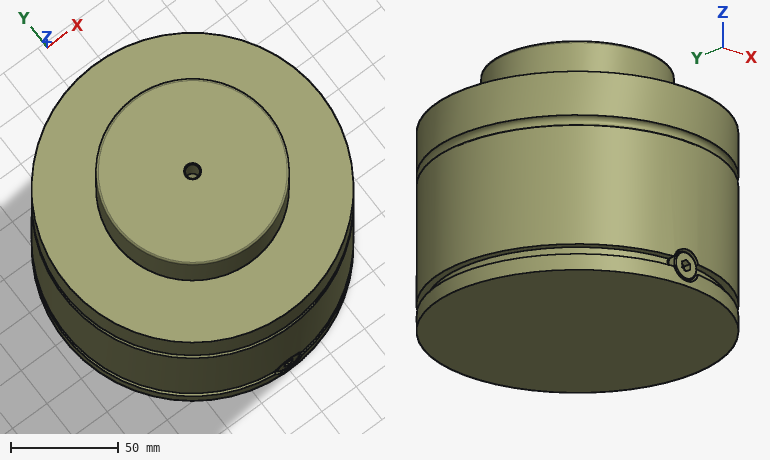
import cadquery as cq
import math

BODY_DIAMETER = 150.0
BODY_HEIGHT = 100.0
BODY_RADIUS = BODY_DIAMETER / 2

ROD_DIAMETER = 90.0
OVERALL_HEIGHT = 128.0
ROD_EDGE_RADIUS = 1.0

ROUND_GROOVE_RADIUS = 2.5
ROUND_GROOVE_Z = 75.5

SQUARE_GROOVE_BOTTOM_Z = 8.0
SQUARE_GROOVE_WIDTH = 5.0
SQUARE_GROOVE_DEPTH = 4.0

TAP_DIAMETER = 6.8
TAP_DEPTH = 16.0
TAP_TIP_ANGLE = 118.0
COUNTERSINK_DIAMETER = 8.0

PORT_Z = SQUARE_GROOVE_BOTTOM_Z + SQUARE_GROOVE_WIDTH / 2
PORT_DIAMETER = 16.0
PORT_DEPTH = 5.0
PLUG_DIAMETER = 14.0
PLUG_RECESS = 0.5
PLUG_EDGE_CHAMFER = 0.6
HEX_ACROSS_FLATS = 5.0
HEX_DEPTH = 4.0


def make_body():
    """Body and rod with both ring grooves, revolved about Z."""
    rod_radius = ROD_DIAMETER / 2
    square_groove_radius = BODY_RADIUS - SQUARE_GROOVE_DEPTH
    square_groove_top_z = SQUARE_GROOVE_BOTTOM_Z + SQUARE_GROOVE_WIDTH
    profile = (
        cq.Workplane("XZ")
        .lineTo(BODY_RADIUS, 0)
        .lineTo(BODY_RADIUS, SQUARE_GROOVE_BOTTOM_Z)
        .lineTo(square_groove_radius, SQUARE_GROOVE_BOTTOM_Z)
        .lineTo(square_groove_radius, square_groove_top_z)
        .lineTo(BODY_RADIUS, square_groove_top_z)
        .lineTo(BODY_RADIUS, ROUND_GROOVE_Z - ROUND_GROOVE_RADIUS)
        .threePointArc(
            (BODY_RADIUS - ROUND_GROOVE_RADIUS, ROUND_GROOVE_Z),
            (BODY_RADIUS, ROUND_GROOVE_Z + ROUND_GROOVE_RADIUS),
        )
        .lineTo(BODY_RADIUS, BODY_HEIGHT)
        .lineTo(rod_radius, BODY_HEIGHT)
        .lineTo(rod_radius, OVERALL_HEIGHT - ROD_EDGE_RADIUS)
        .radiusArc((rod_radius - ROD_EDGE_RADIUS, OVERALL_HEIGHT), -ROD_EDGE_RADIUS)
        .lineTo(0, OVERALL_HEIGHT)
        .close()
    )
    return profile.revolve(360, (0, 0, 0), (0, 1, 0))


def make_tapped_hole():
    """Blind drilled hole with a conical tip and a 90 degree countersink."""
    tap_radius = TAP_DIAMETER / 2
    countersink_radius = COUNTERSINK_DIAMETER / 2
    countersink_depth = countersink_radius - tap_radius
    tip_height = tap_radius / math.tan(math.radians(TAP_TIP_ANGLE / 2))
    profile = (
        cq.Workplane("XZ")
        .moveTo(0, OVERALL_HEIGHT)
        .lineTo(countersink_radius, OVERALL_HEIGHT)
        .lineTo(tap_radius, OVERALL_HEIGHT - countersink_depth)
        .lineTo(tap_radius, OVERALL_HEIGHT - TAP_DEPTH)
        .lineTo(0, OVERALL_HEIGHT - TAP_DEPTH - tip_height)
        .close()
    )
    return profile.revolve(360, (0, 0, 0), (0, 1, 0))


def port_plane(depth):
    """Plane facing -Y on the port axis, the given depth below the body surface."""
    return cq.Workplane("XZ", origin=(0, depth - BODY_RADIUS, PORT_Z))


def make_port_recess():
    return port_plane(PORT_DEPTH).circle(PORT_DIAMETER / 2).extrude(PORT_DEPTH)


def make_plug():
    """Screw plug standing on the port floor, with a hexagon socket."""
    plug = (
        port_plane(PORT_DEPTH)
        .circle(PLUG_DIAMETER / 2)
        .extrude(PORT_DEPTH - PLUG_RECESS)
        .faces("<Y")
        .chamfer(PLUG_EDGE_CHAMFER)
    )
    across_corners = HEX_ACROSS_FLATS / math.cos(math.radians(30))
    socket = (
        port_plane(PLUG_RECESS + HEX_DEPTH)
        .transformed(rotate=(0, 0, 90))
        .polygon(6, across_corners)
        .extrude(HEX_DEPTH)
    )
    return plug.cut(socket)


result = make_body().cut(make_tapped_hole()).cut(make_port_recess()).union(make_plug())